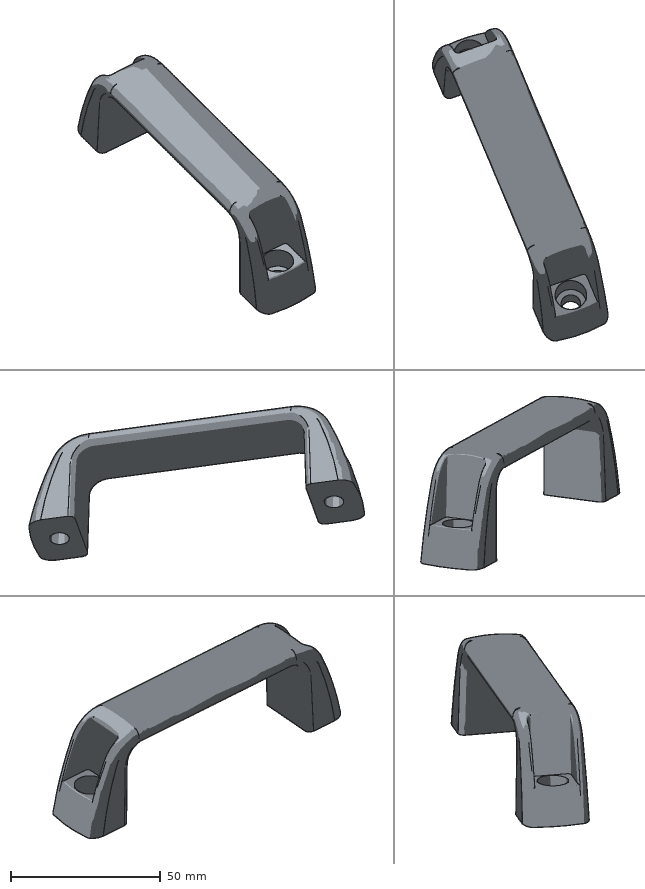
import cadquery as cq
import math

length = 112.81
base_width = 23.0
height = 35.92
grip_width = 21.7
half_length = length / 2
base_half_width = base_width / 2
grip_half_width = grip_width / 2

outer_bend_radius = 14.4
outer_bend_inset = 21.8
knee_slope = 65.8
base_slope = 79.0

leg_thickness = 16.9
grip_underside = 29.2
inner_bend_radius = 5.9
inner_slope = 88.2

crown_sagitta = 0.65
grip_crown_half_width = 8.35
grip_corner_depth = 3.0
base_crown_half_width = 7.6
base_corner_depth = 5.0

leg_inner_round = 2.1
grip_inner_round = 3.0

path_overrun = 4.0
trim_margin = 3.0
outer_trim_height = 12.0
inner_trim_height = 2.0

pocket_floor = 13.0
pocket_half_width = 7.4
pocket_back_floor = 15.0
pocket_back_top = 16.1
pocket_flare_start = 33.4
pocket_flare = 1.6
pocket_corner_radius = 1.3
pocket_rim_round = 0.5

hole_pitch = 94.0
hole_diameter = 6.5
counterbore_diameter = 10.5
counterbore_depth = 7.5


def slope_vector(angle):
    """Unit vector in the XZ plane that rises at the given angle in degrees."""
    return cq.Vector(math.cos(math.radians(angle)), 0, math.sin(math.radians(angle)))


def bend_point(bend_end, radius, angle):
    """Point of a bend, ending level at bend_end, where its slope is the given angle."""
    center = bend_end - cq.Vector(0, 0, radius)
    return center + slope_vector(angle + 90) * radius


def xz(point):
    return (point.x, point.z)


outer_base = cq.Vector(-half_length, 0, 0)
outer_start = outer_base - slope_vector(base_slope) * path_overrun
outer_bend_end = cq.Vector(-half_length + outer_bend_inset, 0, height)
outer_bend_middle = bend_point(outer_bend_end, outer_bend_radius, knee_slope / 2)
knee = bend_point(outer_bend_end, outer_bend_radius, knee_slope)

inner_base = cq.Vector(-half_length + leg_thickness, 0, 0)
inner_start = inner_base - slope_vector(inner_slope) * path_overrun
inner_bend_rise = inner_bend_radius * (1 - math.cos(math.radians(inner_slope)))
inner_leg_length = (grip_underside - inner_bend_rise) / math.sin(math.radians(inner_slope))
inner_leg_top = inner_base + slope_vector(inner_slope) * inner_leg_length
inner_bend_run = inner_bend_radius * math.sin(math.radians(inner_slope))
inner_bend_end = cq.Vector(inner_leg_top.x + inner_bend_run, 0, grip_underside)
inner_bend_middle = bend_point(inner_bend_end, inner_bend_radius, inner_slope / 2)


def half_width_at(z):
    """Half width of the part, which drafts inward up to the knee and is constant above it."""
    draft = min(z / knee.z, 1.0)
    return base_half_width + (grip_half_width - base_half_width) * draft


def section_plane(origin, angle):
    """Plane square to an outline: local x along Y, local y toward the outer side of the bend."""
    return cq.Plane(origin=origin.toTuple(), xDir=(0, 1, 0), normal=slope_vector(angle).toTuple())


def sweep_between(first, last, path):
    """Solid that blends from the first section to the last along the path."""
    return cq.Workplane(cq.Solid.sweep_multi([first.val(), last.val()], path.wire().val(), True, False))


def at_both_ends(tool):
    return tool.union(tool.mirror("YZ"))


def blank():
    """Handle with its inner outline and drafted sides, but a square outside."""
    block = (
        cq.Workplane("YZ")
        .moveTo(-base_half_width, 0)
        .lineTo(base_half_width, 0)
        .lineTo(grip_half_width, knee.z)
        .lineTo(grip_half_width, height)
        .lineTo(-grip_half_width, height)
        .lineTo(-grip_half_width, knee.z)
        .close()
        .extrude(half_length, both=True)
    )
    opening = (
        cq.Workplane("XZ")
        .moveTo(*xz(inner_base))
        .lineTo(*xz(inner_leg_top))
        .threePointArc(xz(inner_bend_middle), xz(inner_bend_end))
        .lineTo(0, grip_underside)
        .lineTo(0, 0)
        .close()
        .extrude(base_width, both=True)
    )
    return block.cut(at_both_ends(opening))


def outer_section(origin, angle, half_width, crown_half_width, corner_depth):
    """Waste outline outside the crowned face and its two elliptical corners."""
    corner_width = half_width - crown_half_width
    corner_drop = crown_sagitta + corner_depth
    middle_y = crown_half_width + corner_width * math.sqrt(0.5)
    middle_drop = corner_drop - corner_depth * math.sqrt(0.5)
    side = base_half_width + trim_margin
    return (
        cq.Workplane(section_plane(origin, angle))
        .moveTo(-crown_half_width, -crown_sagitta)
        .threePointArc((0, 0), (crown_half_width, -crown_sagitta))
        .spline(
            [(middle_y, -middle_drop), (half_width, -corner_drop)],
            tangents=[(1, 0), (0, -1)],
            includeCurrent=True,
        )
        .lineTo(side, -corner_drop)
        .lineTo(side, outer_trim_height)
        .lineTo(-side, outer_trim_height)
        .lineTo(-side, -corner_drop)
        .lineTo(-half_width, -corner_drop)
        .spline(
            [(-middle_y, -middle_drop), (-crown_half_width, -crown_sagitta)],
            tangents=[(0, 1), (1, 0)],
            includeCurrent=True,
        )
        .close()
    )


def trim_outside(body):
    """Shape the outer face; the corners grow wider from the knee down to the base."""
    base = outer_section(outer_start, base_slope, base_half_width, base_crown_half_width, base_corner_depth)
    top = outer_section(knee, knee_slope, grip_half_width, grip_crown_half_width, grip_corner_depth)
    leg_path = (
        cq.Workplane("XZ")
        .moveTo(*xz(outer_start))
        .lineTo(*xz(outer_base))
        .tangentArcPoint(xz(knee), relative=False)
    )
    grip = outer_section(outer_bend_end, 0, grip_half_width, grip_crown_half_width, grip_corner_depth)
    bend_path = (
        cq.Workplane("XZ")
        .moveTo(*xz(knee))
        .threePointArc(xz(outer_bend_middle), xz(outer_bend_end))
    )
    leg_waste = sweep_between(base, top, leg_path)
    bend_waste = top.sweep(bend_path)
    for waste in (leg_waste, bend_waste):
        body = body.cut(waste).cut(waste.mirror("YZ"))
    return body.cut(grip.extrude(2 * abs(outer_bend_end.x)))


def inner_section(origin, angle, half_width, radius):
    """Waste outline outside one rounded edge of the inner face, on the +Y side."""
    side = half_width + trim_margin
    offset = radius * (1 - math.sqrt(0.5))
    return (
        cq.Workplane(section_plane(origin, angle))
        .moveTo(half_width - radius, 0)
        .threePointArc((half_width - offset, offset), (half_width, radius))
        .lineTo(side, radius)
        .lineTo(side, -inner_trim_height)
        .lineTo(half_width - radius, -inner_trim_height)
        .close()
    )


def round_inner_edges(body):
    """Round the inner edges; the radius grows through the bend from leg to grip."""
    bend_half_width = half_width_at(inner_leg_top.z)
    base = inner_section(inner_start, inner_slope, base_half_width, leg_inner_round)
    leg_top = inner_section(inner_leg_top, inner_slope, bend_half_width, leg_inner_round)
    grip = inner_section(inner_bend_end, 0, grip_half_width, grip_inner_round)
    leg_path = cq.Workplane("XZ").moveTo(*xz(inner_start)).lineTo(*xz(inner_leg_top))
    bend_path = (
        cq.Workplane("XZ")
        .moveTo(*xz(inner_leg_top))
        .threePointArc(xz(inner_bend_middle), xz(inner_bend_end))
    )
    leg_waste = sweep_between(base, leg_top, leg_path)
    bend_waste = sweep_between(leg_top, grip, bend_path)
    grip_waste = grip.extrude(2 * abs(inner_bend_end.x))
    for waste in (leg_waste, bend_waste, grip_waste):
        for near in (waste, waste.mirror("XZ")):
            body = body.cut(near).cut(near.mirror("YZ"))
    return body


def pocket():
    """Screw pocket of the -X leg, open to the outside, with rounded back corners."""
    outside = -half_length - trim_margin
    back_floor = -half_length + pocket_back_floor
    back_top = -half_length + pocket_back_top
    back_direction = cq.Vector(back_top - back_floor, 0, pocket_flare_start - pocket_floor)
    return (
        cq.Workplane("XZ")
        .moveTo(outside, pocket_floor)
        .lineTo(back_floor, pocket_floor)
        .lineTo(back_top, pocket_flare_start)
        .tangentArcPoint((back_top + pocket_flare, height), relative=False)
        .lineTo(outside, height)
        .close()
        .extrude(pocket_half_width, both=True)
        .edges(cq.selectors.ParallelDirSelector(back_direction))
        .fillet(pocket_corner_radius)
    )


def cut_pockets(body):
    """Cut both screw pockets and round their lips and rims."""
    nearest = cq.selectors.NearestToPointSelector
    rim_top_x = half_length - pocket_back_top
    lips = nearest((-half_length, 0, pocket_floor)) + nearest((half_length, 0, pocket_floor))
    rims = nearest((-rim_top_x, 0, height)) + nearest((rim_top_x, 0, height))
    return body.cut(at_both_ends(pocket())).edges(lips + rims).fillet(pocket_rim_round)


def screw_axes(z):
    """Workplane at the given height with both screw positions."""
    return cq.Workplane("XY", origin=(0, 0, z)).pushPoints([(-hole_pitch / 2, 0), (hole_pitch / 2, 0)])


def cut_screw_holes(body):
    """Through holes with deep counterbores in the pocket floors."""
    through = screw_axes(0).circle(hole_diameter / 2).extrude(pocket_floor)
    counterbore = (
        screw_axes(pocket_floor - counterbore_depth)
        .circle(counterbore_diameter / 2)
        .extrude(counterbore_depth)
    )
    return body.cut(through).cut(counterbore)


body = round_inner_edges(trim_outside(blank()))
result = cut_screw_holes(cut_pockets(body))